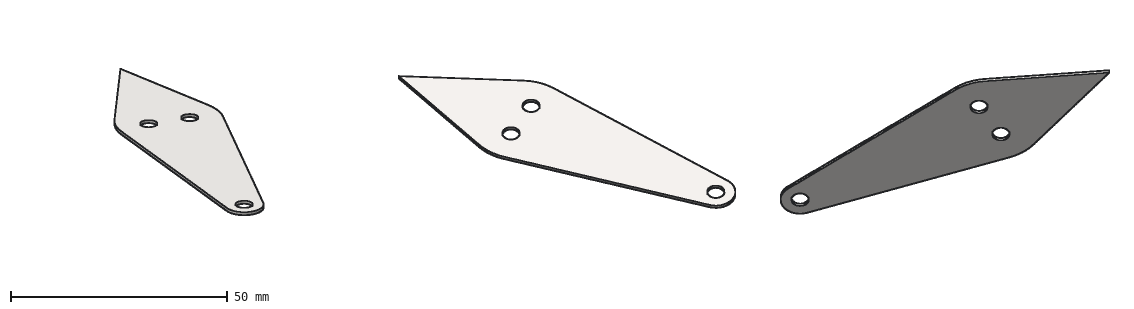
import cadquery as cq
import math

length = 86.9
width = 25.4
thickness = 0.81

shoulder_radius = width / 2
shoulder_x = 31.6
tail_radius = 4.5
tail_x = length - tail_radius

tip = (0.0, -0.5)

hole_diameter = 4.0
hole_pitch = 10.1


def circle_point(center_x, radius, angle):
    """Point at an angle on a circle centred on the centre line."""
    return (center_x + radius * math.cos(angle), radius * math.sin(angle))


tail_angle = math.acos((shoulder_radius - tail_radius) / (tail_x - shoulder_x))
tip_distance = math.hypot(tip[0] - shoulder_x, tip[1])
tip_direction = math.atan2(tip[1], tip[0] - shoulder_x) % (2 * math.pi)
tip_spread = math.acos(shoulder_radius / tip_distance)
upper_tip_angle = tip_direction - tip_spread
lower_tip_angle = tip_direction + tip_spread

blade = (
    cq.Workplane("XY")
    .moveTo(*tip)
    .lineTo(*circle_point(shoulder_x, shoulder_radius, upper_tip_angle))
    .threePointArc(
        (shoulder_x, shoulder_radius),
        circle_point(shoulder_x, shoulder_radius, tail_angle),
    )
    .lineTo(*circle_point(tail_x, tail_radius, tail_angle))
    .threePointArc((length, 0), circle_point(tail_x, tail_radius, -tail_angle))
    .lineTo(*circle_point(shoulder_x, shoulder_radius, -tail_angle))
    .threePointArc(
        (shoulder_x, -shoulder_radius),
        circle_point(shoulder_x, shoulder_radius, lower_tip_angle),
    )
    .close()
    .extrude(thickness)
)

hole_centers = [
    (shoulder_x, hole_pitch / 2),
    (shoulder_x, -hole_pitch / 2),
    (tail_x, 0),
]
holes = (
    cq.Workplane("XY")
    .pushPoints(hole_centers)
    .circle(hole_diameter / 2)
    .extrude(thickness)
)

result = blade.cut(holes)